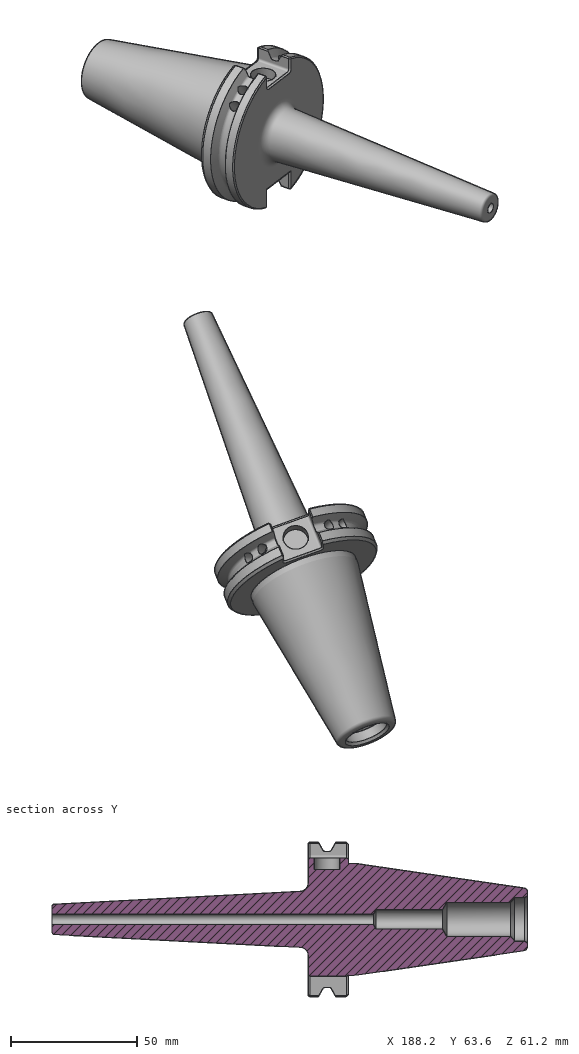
import cadquery as cq
import math

overall_length = 188.25
gauge_length = 68.25
gauge_radius = 44.45 / 2
taper_slope = 7 / 48
shank_end_fillet = 1.7

flange_start = gauge_length + 2.6
flange_end = gauge_length + 18.65
flange_radius = 63.55 / 2
rear_chamfer_length = 1.2
rear_chamfer_depth = 0.9
front_chamfer = 0.5

groove_center = gauge_length + 11.1
groove_floor_radius = 56.25 / 2
groove_half_width = 3.5
groove_half_angle = math.radians(30)
groove_corner_fillet = 1.0

slot_width = 16.1
upper_slot_floor = 24.4
lower_slot_floor = 22.5
upper_slot_fillet = 1.0
slot_edge_chamfer = 0.5
slot_face_chamfer = 0.8
rim_clearance = 2.0

chip_pocket_diameter = 10.0
chip_pocket_depth = 4.6

radial_hole_diameter = 4.0
radial_hole_angles = (30, 45)
radial_hole_depth = 6.0

nose_tip_radius = 6.0
nose_angle = math.radians(3)
nose_root_radius = 3.2
nose_tip_fillet = 1.0

mouth_radius = 9.3
pilot_radius = 8.6
pilot_depth = 5.2
thread_mouth_radius = 8.3
thread_radius = 6.7
thread_depth = 32.0
drill_radius = 3.75
drill_depth = 60.0
coolant_radius = 2.0
mouth_angle = math.radians(30)
thread_mouth_angle = math.radians(45)
drill_point_angle = math.radians(60)


def revolve_profile(points):
    """Solid of revolution about X from (x, radius) corners."""
    profile = cq.Workplane("XZ").polyline(points).close()
    return profile.revolve(360, (0, 0, 0), (1, 0, 0))


def circles_at(body, x, radius):
    """Circular edges of the body on its axis at the given station and radius."""
    tolerance = 0.01

    def matches(edge):
        if edge.geomType() != "CIRCLE":
            return False
        middle = edge.arcCenter()
        return abs(middle.x - x) < tolerance and abs(edge.radius() - radius) < tolerance

    return body.newObject([edge for edge in body.edges().vals() if matches(edge)])


def make_shank():
    end_radius = gauge_radius - gauge_length * taper_slope
    shank = revolve_profile([
        (0, 0),
        (0, end_radius),
        (gauge_length, gauge_radius),
        (flange_end, gauge_radius),
        (flange_end, 0),
    ])
    return circles_at(shank, 0, end_radius).fillet(shank_end_fillet)


def make_flange():
    flange = revolve_profile([
        (flange_start, 0),
        (flange_start, flange_radius - rear_chamfer_depth),
        (flange_start + rear_chamfer_length, flange_radius),
        (flange_end - front_chamfer, flange_radius),
        (flange_end, flange_radius - front_chamfer),
        (flange_end, 0),
    ])
    groove_depth = flange_radius - groove_floor_radius
    floor_half_width = groove_half_width - groove_depth * math.tan(groove_half_angle)
    groove = revolve_profile([
        (groove_center - groove_half_width, flange_radius),
        (groove_center - floor_half_width, groove_floor_radius),
        (groove_center + floor_half_width, groove_floor_radius),
        (groove_center + groove_half_width, flange_radius),
    ])
    for side in (-1, 1):
        corner = circles_at(groove, groove_center + side * floor_half_width, groove_floor_radius)
        groove = corner.fillet(groove_corner_fillet)
    return flange.cut(groove)


def make_nose():
    root_radius = nose_tip_radius + (overall_length - flange_end) * math.tan(nose_angle)
    nose = revolve_profile([
        (flange_start, 0),
        (flange_start, gauge_radius),
        (flange_end, gauge_radius),
        (flange_end, root_radius),
        (overall_length, nose_tip_radius),
        (overall_length, 0),
    ])
    nose = circles_at(nose, overall_length, nose_tip_radius).fillet(nose_tip_fillet)
    return circles_at(nose, flange_end, root_radius).fillet(nose_root_radius)


def slot_section(floor_distance, floor_fillet, x):
    """Closed outline of the slot at station x, opening toward +Z and flared at the rim."""
    half_width = slot_width / 2
    flare_half_width = half_width + slot_edge_chamfer
    flare_top = math.sqrt(flange_radius**2 - flare_half_width**2)
    flare_bottom = flare_top - slot_edge_chamfer
    outer_half_width = flare_half_width + rim_clearance
    outline = [
        (-half_width, floor_distance),
        (half_width, floor_distance),
        (half_width, flare_bottom),
        (outer_half_width, flare_top + rim_clearance),
        (-outer_half_width, flare_top + rim_clearance),
        (-half_width, flare_bottom),
    ]
    section = cq.Sketch().polygon(outline + outline[:1])
    if floor_fillet > 0:
        section = section.vertices("<Y").fillet(floor_fillet)
    return cq.Workplane("YZ", origin=(x, 0, 0)).placeSketch(section)


def make_slot(floor_distance, floor_fillet):
    """Slot through the flange toward +Z, widened by a chamfer at both flange faces."""
    flange_width = flange_end - flange_start
    slot = slot_section(floor_distance, floor_fillet, flange_start).extrude(flange_width)
    for face_x, inward in ((flange_start, slot_face_chamfer), (flange_end, -slot_face_chamfer)):
        section = slot_section(floor_distance, floor_fillet, face_x)
        wire = section.extrude(flange_width).faces("<X").wires().val()
        wide_wire = wire.offset2D(slot_edge_chamfer, "intersection")[0]
        deep_wire = wire.moved(cq.Location(cq.Vector(inward, 0, 0)))
        slot = slot.union(cq.Workplane(cq.Solid.makeLoft([wide_wire, deep_wire], True)))
    return slot


def make_radial_hole(angle):
    hole_floor = groove_floor_radius - radial_hole_depth
    hole = cq.Workplane("XY", origin=(groove_center, 0, hole_floor))
    hole = hole.circle(radial_hole_diameter / 2).extrude(flange_radius - hole_floor)
    return hole.rotate((0, 0, 0), (1, 0, 0), angle)


def make_bore():
    mouth_end = (mouth_radius - pilot_radius) / math.tan(mouth_angle)
    thread_start = pilot_depth + (thread_mouth_radius - thread_radius) / math.tan(thread_mouth_angle)
    drill_start = thread_depth + (thread_radius - drill_radius) / math.tan(drill_point_angle)
    coolant_start = drill_depth + (drill_radius - coolant_radius) / math.tan(drill_point_angle)
    return revolve_profile([
        (0, 0),
        (0, mouth_radius),
        (mouth_end, pilot_radius),
        (pilot_depth, pilot_radius),
        (pilot_depth, thread_mouth_radius),
        (thread_start, thread_radius),
        (thread_depth, thread_radius),
        (drill_start, drill_radius),
        (drill_depth, drill_radius),
        (coolant_start, coolant_radius),
        (overall_length, coolant_radius),
        (overall_length, 0),
    ])


def make_chip_pocket():
    pocket = cq.Workplane("XY", origin=(groove_center, 0, upper_slot_floor))
    return pocket.circle(chip_pocket_diameter / 2).extrude(-chip_pocket_depth)


holder = make_flange().union(make_shank()).union(make_nose())
holder = holder.cut(make_slot(upper_slot_floor, upper_slot_fillet))
lower_slot = make_slot(lower_slot_floor, 0).rotate((0, 0, 0), (1, 0, 0), 180)
holder = holder.cut(lower_slot)
holder = holder.cut(make_chip_pocket())
for hole_angle in radial_hole_angles:
    for side in (-1, 1):
        holder = holder.cut(make_radial_hole(side * hole_angle))
result = holder.cut(make_bore())